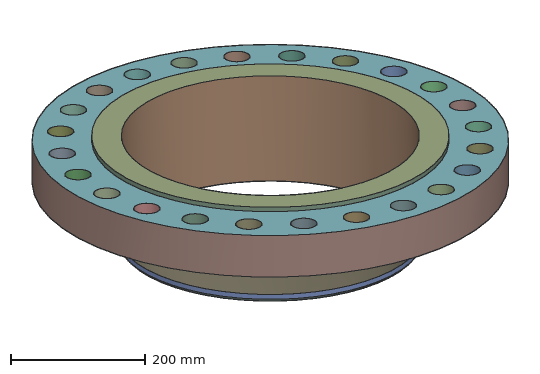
import cadquery as cq

flange_diameter = 711.0
flange_thickness = 67.5
total_height = 171.5
bore_diameter = 444.5

face_diameter = 533.5
face_height = 7.0

hub_root_diameter = 533.5
hub_taper_diameter = 521.0
hub_root_height = 8.5
neck_diameter = 457.0
neck_height = 13.0
bevel_height = 5.0
bevel_width = 4.0

bolt_count = 24
bolt_circle_diameter = 629.0
bolt_hole_diameter = 39.0

flange_top = total_height - face_height
flange_bottom = flange_top - flange_thickness
taper_top = flange_bottom - hub_root_height

bore_radius = bore_diameter / 2
face_radius = face_diameter / 2
flange_radius = flange_diameter / 2
root_radius = hub_root_diameter / 2
taper_radius = hub_taper_diameter / 2
neck_radius = neck_diameter / 2


def make_body():
    """Revolve the half section (radius, height) around the Z axis."""
    section = [
        (bore_radius, 0),
        (neck_radius - bevel_width, 0),
        (neck_radius, bevel_height),
        (neck_radius, neck_height),
        (taper_radius, taper_top),
        (root_radius, flange_bottom),
        (flange_radius, flange_bottom),
        (flange_radius, flange_top),
        (face_radius, flange_top),
        (face_radius, total_height),
        (bore_radius, total_height),
    ]
    return cq.Workplane("XZ").polyline(section).close().revolve(360, (0, 0), (0, 1))


def make_bolt_holes():
    """Cylinders through the flange plate, the first one on +X."""
    return (
        cq.Workplane("XY", origin=(0, 0, flange_bottom))
        .polarArray(bolt_circle_diameter / 2, 0, 360, bolt_count)
        .circle(bolt_hole_diameter / 2)
        .extrude(flange_thickness)
    )


result = make_body().cut(make_bolt_holes())